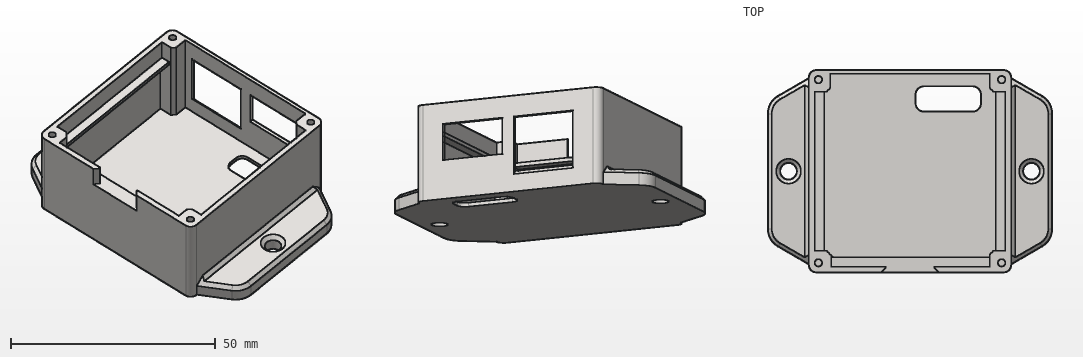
import cadquery as cq
import math

BOX_SIDE = 49.5
HEIGHT = 24.1
TOTAL_LENGTH = 69.5
CORNER_RADIUS = 1.9
THIN = 1.0
RIM_WALL = 1.45

HALF_BOX = BOX_SIDE / 2
HALF_LENGTH = TOTAL_LENGTH / 2
INNER = HALF_BOX - THIN
RIM_INNER = HALF_BOX - RIM_WALL

LEDGE_TOP = 18.8
LEDGE_THICKNESS = 1.0
LEDGE_INNER = 21.0
POST_REACH = 19.45
POST_CHAMFER = 0.9
BIG_POST_CHAMFER = 1.7
BIG_POST_RIM_CHAMFER = 1.2
BIG_POST_FLAT = 20.35

SCREW_DIAMETER = 1.8
SCREW_DEPTH = 10.0
SCREW_OFFSET = 22.4

LUG_HEIGHT = 4.0
LUG_CHAMFER = 1.0
LUG_ROOT_HALF = 22.7
LUG_SLOPE = 30.0
LUG_RADIUS = 5.0
LUG_HOLE_DIAMETER = 4.0
LUG_SINK_DIAMETER = 6.05
LUG_HOLE_X = 29.7

NOTCH_INNER_WIDTH = 11.95
NOTCH_FLARE = 1.1
WINDOW_NEAR = 1.5
WINDOW_FAR = 17.45
WINDOW_TOP = 18.8
RIGHT_WINDOW_SILL = 9.7
LEFT_WINDOW_SILL = 5.35
SLOT_LEFT = 1.4
SLOT_RIGHT = 17.3
SLOT_FRONT = 14.6
SLOT_BACK = 20.7
SLOT_RADIUS = 2.0


def block(x0, x1, y0, y1, z0, z1):
    """Box between two opposite corners."""
    return cq.Workplane("XY").box(x1 - x0, y1 - y0, z1 - z0, centered=False).translate((x0, y0, z0))


def shell():
    """Open box whose side and front walls are thicker above the ledges."""
    outer = cq.Workplane("XY").rect(BOX_SIDE, BOX_SIDE).extrude(HEIGHT).edges("|Z").fillet(CORNER_RADIUS)
    lower = block(-INNER, INNER, -INNER, INNER, THIN, LEDGE_TOP)
    upper = block(-RIM_INNER, RIM_INNER, -RIM_INNER, INNER, LEDGE_TOP, HEIGHT)
    return outer.cut(lower).cut(upper)


def post(side_x, side_y, reach_x, chamfer, z0, z1):
    """Corner post with a chamfered inner corner, in the quadrant given by the two signs."""
    points = [
        (INNER, INNER),
        (reach_x, INNER),
        (reach_x, POST_REACH + chamfer),
        (reach_x + chamfer, POST_REACH),
        (INNER, POST_REACH),
    ]
    outline = [(side_x * x, side_y * y) for x, y in points]
    return cq.Workplane("XY").workplane(offset=z0).polyline(outline).close().extrude(z1 - z0)


def add_posts(body):
    for side_x, side_y in [(1, 1), (1, -1), (-1, 1)]:
        body = body.union(post(side_x, side_y, POST_REACH, POST_CHAMFER, THIN, HEIGHT))
    for chamfer, z0, z1 in [(BIG_POST_CHAMFER, THIN, LEDGE_TOP), (BIG_POST_RIM_CHAMFER, LEDGE_TOP, HEIGHT)]:
        body = body.union(post(-1, -1, BIG_POST_FLAT - chamfer, chamfer, z0, z1))
    return body


def add_ledges(body):
    """Ledges along the left, right and front walls, ending inside the posts."""
    z0 = LEDGE_TOP - LEDGE_THICKNESS
    end = LEDGE_INNER
    body = body.union(block(-INNER, -LEDGE_INNER, -end, end, z0, LEDGE_TOP))
    body = body.union(block(LEDGE_INNER, INNER, -end, end, z0, LEDGE_TOP))
    return body.union(block(-end, end, -INNER, -LEDGE_INNER, z0, LEDGE_TOP))


def lug():
    """Right-hand lug: tapered plan outline trimmed to the lug's side profile."""
    slope = math.tan(math.radians(LUG_SLOPE))
    tip_half = LUG_ROOT_HALF - (HALF_LENGTH - HALF_BOX) * slope
    peak = LUG_HEIGHT + LUG_CHAMFER
    taper_start = LUG_HEIGHT - LUG_CHAMFER

    center_half = LUG_ROOT_HALF + HALF_BOX * slope
    plan = [(0, -center_half), (HALF_LENGTH, -tip_half), (HALF_LENGTH, tip_half), (0, center_half)]
    slab = cq.Workplane("XY").polyline(plan).close().extrude(peak)
    slab = slab.edges("|Z and >X").fillet(LUG_RADIUS)
    slab = slab.faces(">Z").chamfer(peak - taper_start)

    profile = [
        (INNER, 0),
        (HALF_LENGTH, 0),
        (HALF_LENGTH, LUG_HEIGHT),
        (HALF_BOX + LUG_CHAMFER, LUG_HEIGHT),
        (HALF_BOX, peak),
        (INNER, peak),
    ]
    side = cq.Workplane("XZ").polyline(profile).close().extrude(HALF_BOX, both=True)
    return slab.intersect(side)


def add_lugs(body):
    right = lug()
    return body.union(right).union(right.mirror("YZ"))


def cut_lug_holes(body):
    """Countersunk through hole in each lug."""
    sink = (LUG_SINK_DIAMETER - LUG_HOLE_DIAMETER) / 2
    half_profile = [
        (0, 0),
        (LUG_HOLE_DIAMETER / 2, 0),
        (LUG_HOLE_DIAMETER / 2, LUG_HEIGHT - sink),
        (LUG_SINK_DIAMETER / 2, LUG_HEIGHT),
        (0, LUG_HEIGHT),
    ]
    hole = cq.Workplane("XZ").polyline(half_profile).close().revolve(360, (0, 0, 0), (0, 1, 0))
    for x in (-LUG_HOLE_X, LUG_HOLE_X):
        body = body.cut(hole.translate((x, 0, 0)))
    return body


def cut_screw_holes(body):
    spots = [(x, y) for x in (-SCREW_OFFSET, SCREW_OFFSET) for y in (-SCREW_OFFSET, SCREW_OFFSET)]
    holes = (
        cq.Workplane("XY").workplane(offset=HEIGHT).pushPoints(spots)
        .circle(SCREW_DIAMETER / 2).extrude(-SCREW_DEPTH)
    )
    return body.cut(holes)


def cut_front_notch(body):
    """Notch in the front rim, down to the ledge, flared at the outer face."""
    half = NOTCH_INNER_WIDTH / 2
    outline = [
        (-half, -RIM_INNER),
        (-half, NOTCH_FLARE - HALF_BOX),
        (-half - NOTCH_FLARE, -HALF_BOX),
        (half + NOTCH_FLARE, -HALF_BOX),
        (half, NOTCH_FLARE - HALF_BOX),
        (half, -RIM_INNER),
    ]
    notch = cq.Workplane("XY").workplane(offset=LEDGE_TOP).polyline(outline).close()
    return body.cut(notch.extrude(HEIGHT - LEDGE_TOP))


def cut_back_windows(body):
    body = body.cut(block(WINDOW_NEAR, WINDOW_FAR, INNER, HALF_BOX, RIGHT_WINDOW_SILL, WINDOW_TOP))
    sloped = [
        (INNER, LEFT_WINDOW_SILL),
        (HALF_BOX, LEFT_WINDOW_SILL - THIN),
        (HALF_BOX, WINDOW_TOP),
        (INNER, WINDOW_TOP),
    ]
    left = cq.Workplane("YZ").workplane(offset=-WINDOW_FAR).polyline(sloped).close()
    return body.cut(left.extrude(WINDOW_FAR - WINDOW_NEAR))


def cut_floor_slot(body):
    slot = block(SLOT_LEFT, SLOT_RIGHT, SLOT_FRONT, SLOT_BACK, 0, THIN)
    return body.cut(slot.edges("|Z").fillet(SLOT_RADIUS))


result = add_ledges(add_posts(shell()))
result = add_lugs(result)
result = cut_lug_holes(result)
result = cut_screw_holes(result)
result = cut_front_notch(result)
result = cut_back_windows(result)
result = cut_floor_slot(result)